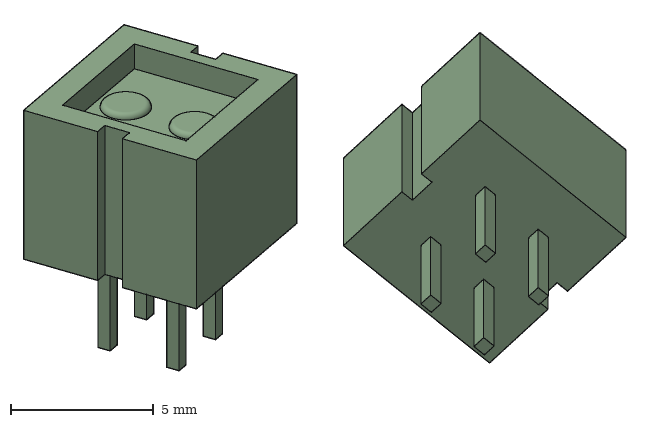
import cadquery as cq

body_side = 7.0
body_height = 6.0
notch_width = 1.0
notch_depth = 0.5

window_side = 5.0
window_depth = 1.0

lens_diameter = 1.8
lens_height = 0.2
lens_rounding = lens_height
lens_embedding = 0.5

spacing_x = 2.79

pin_side = 0.5
pin_length = 4.0
pin_spacing_y = 2.54

window_floor = body_height - window_depth


def make_housing():
    """Square block with a recessed window and a notch in the front and back faces."""
    housing = cq.Workplane("XY").rect(body_side, body_side).extrude(body_height)
    window = (
        cq.Workplane("XY", origin=(0, 0, window_floor))
        .rect(window_side, window_side)
        .extrude(window_depth)
    )
    notches = (
        cq.Workplane("XY")
        .rarray(0.1, body_side, 1, 2)
        .rect(notch_width, 2 * notch_depth)
        .extrude(body_height)
    )
    return housing.cut(window).cut(notches)


def make_lenses():
    """Pair of discs whose rounded edges sweep from the flat top down to the window floor."""
    return (
        cq.Workplane("XY", origin=(0, 0, window_floor - lens_embedding))
        .rarray(spacing_x, 0.1, 2, 1)
        .circle(lens_diameter / 2)
        .extrude(lens_embedding + lens_height)
        .faces(">Z")
        .edges()
        .fillet(lens_rounding)
    )


def make_pins():
    """Four square pins hanging from the underside."""
    return (
        cq.Workplane("XY")
        .rarray(spacing_x, pin_spacing_y, 2, 2)
        .rect(pin_side, pin_side)
        .extrude(-pin_length)
    )


result = make_housing().union(make_lenses()).union(make_pins())